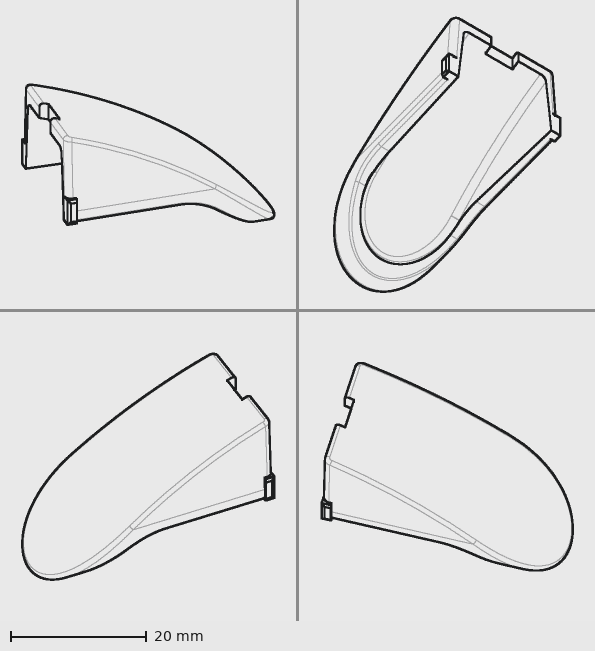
import cadquery as cq
import math

length = 35.22
height = 22.5
half_width = 10.05
margin = 3.52

roof_front = (0, 22.7)
roof_middle = (12.4, 17.7)
roof_tip = (35.95, 0)
roof_thickness = 2.43
rail_z = 8.7
rail_bend_y = 21.0
rail_bend_radius = 9.85
tip_foot_y = 32.2

wall_draft = math.radians(3.4)
lean_x = half_width * math.cos(wall_draft)
lean_z = half_width * (1 + math.sin(wall_draft))
top_half_width = lean_x - (roof_front[1] - lean_z) * math.tan(wall_draft)

front_corner_radius = 1.0
top_edge_radius = 0.55
bottom_edge_radius = 0.5

cavity_front_half_width = 9.5
cavity_rear_half_width = 8.65
cavity_rear_y = 21.63
cavity_end_y = 30.3
cavity_draft = 5.3
cavity_corner_radius = 1.05

notch_width = 5.0
notch_depth = 1.45
tab_half_width = 10.5
tab_inner_x = 8.45
tab_depth = 1.45
tab_top_z = 12.75
tab_chamfer_inset = 0.2
tab_chamfer_length = 0.5


def circle_through(first, second, third):
    """Centre and radius of the circle through three points."""
    ax, ay = second[0] - first[0], second[1] - first[1]
    bx, by = third[0] - first[0], third[1] - first[1]
    cross = 2 * (ax * by - ay * bx)
    a_square = ax**2 + ay**2
    b_square = bx**2 + by**2
    dx = (by * a_square - ay * b_square) / cross
    dy = (ax * b_square - bx * a_square) / cross
    return (first[0] + dx, first[1] + dy), math.hypot(dx, dy)


roof_centre, roof_radius = circle_through(roof_front, roof_middle, roof_tip)


def roof_cylinder(radius):
    """Cylinder along X, concentric with the roof."""
    return cq.Workplane("YZ").center(*roof_centre).circle(radius).extrude(length, both=True)


def make_body():
    side = (
        cq.Workplane("YZ")
        .moveTo(0, rail_z)
        .lineTo(rail_bend_y, rail_z)
        .lineTo(tip_foot_y, 0)
        .lineTo(*roof_tip)
        .threePointArc(roof_middle, roof_front)
        .close()
        .extrude(length, both=True)
        .edges(cq.selectors.NearestToPointSelector((0, rail_bend_y, rail_z)))
        .fillet(rail_bend_radius)
    )
    section = (
        cq.Workplane("XZ")
        .moveTo(-lean_x, lean_z)
        .threePointArc((0, 0), (lean_x, lean_z))
        .lineTo(top_half_width, roof_front[1])
        .lineTo(-top_half_width, roof_front[1])
        .close()
        .extrude(-(length + margin))
    )
    return side.intersect(section)


def round_edges(body):
    upright = cq.selectors.BoxSelector(
        (-length, -0.35, lean_z + 0.35), (length, 0.35, height - margin))
    body = body.edges(upright).fillet(front_corner_radius)
    roof_face = cq.selectors.NearestToPointSelector((0, *roof_middle))
    body = body.faces(roof_face).edges().fillet(top_edge_radius)
    rail_edges = cq.selectors.BoxSelector(
        (-length, margin, rail_z - 0.35), (length, rail_bend_y - margin, rail_z + 0.35))
    return body.edges(rail_edges).fillet(bottom_edge_radius)


def make_tab():
    return (
        cq.Workplane("XY")
        .box(tab_half_width - tab_inner_x, tab_depth, tab_top_z - rail_z, centered=False)
        .faces(">X")
        .edges("not >Y")
        .chamfer(tab_chamfer_length, tab_chamfer_inset)
        .translate((tab_inner_x, 0, rail_z))
    )


def make_cavity():
    plan = (
        cq.Workplane("XY")
        .moveTo(-cavity_front_half_width, -margin)
        .lineTo(cavity_front_half_width, -margin)
        .lineTo(cavity_rear_half_width, cavity_rear_y)
        .threePointArc((0, cavity_end_y), (-cavity_rear_half_width, cavity_rear_y))
        .close()
        .extrude(height + margin, taper=cavity_draft)
    )
    cavity = plan.intersect(roof_cylinder(roof_radius - roof_thickness))
    roof_face = cq.selectors.NearestToPointSelector(
        (0, roof_middle[0], roof_middle[1] - roof_thickness))
    return cavity.faces(roof_face).edges().fillet(cavity_corner_radius)


def make_notch():
    return cq.Workplane("XY").box(
        notch_width, 2 * notch_depth, 2 * (height + margin))


tab = make_tab()
result = (
    round_edges(make_body())
    .union(tab)
    .union(tab.mirror("YZ"))
    .cut(make_cavity())
    .cut(make_notch())
)